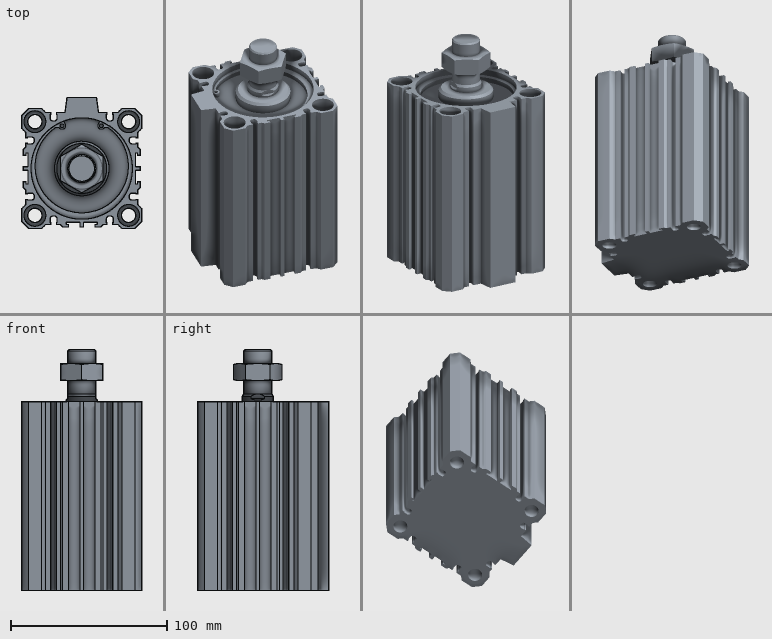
import cadquery as cq
import math


body_height = 121.0
half_width = 38.5
wall_face = 36.0
corner_chamfer = 4.5
pad_end = 25.75
port_block_face = 45.5
port_block_tip_half = 9.5
port_block_root_half = 10.8

mount_pitch = 60.0
mount_hole_dia = 9.0
mount_bore_dia = 14.0
mount_bore_depth = 10.5

slot_offset = 18.0
slot_mouth_width = 3.4
slot_width = 4.3
slot_lip_depth = 1.4
slot_depth = 5.5
slot_bottom_flat = 1.0

rail_face = 37.5
rail_half = 12.25
rail_root_half = 13.75
rail_mouth_half = 8.4
rail_undercut_half = 9.9
rail_floor = 34.5
rail_lip_underside = 35.7
rail_rib_half = 1.2

recess_dia = 65.0
recess_depth = 7.0
ring_thickness = 3.0
ring_inner_dia = 59.8
ring_center_y = 1.5
ring_end_y = 26.4
lug_x = 12.6
lug_y = 27.4
lug_radius = 2.25
lug_hole_dia = 2.5
boss_dia = 35.0
boss_chamfer = 1.5

rod_top = 154.5
rod_dia = 20.0
thread_dia = 18.0
thread_minor_dia = 16.38
shoulder_height = 5.0
shoulder_taper = 1.5
thread_chamfer = 1.0
rod_flat_width = 18.0
rod_flat_bottom = 2.0
flat_runout = 1.0

nut_across_flats = 27.0
nut_height = 11.0
nut_top = rod_top - 9.0
nut_face_dia = 26.4
nut_chamfer_angle = 15.0

recess_floor = body_height - recess_depth


def place_on_side(shape, side):
    """Turn a shape built on the -Y side by quarter turns about the axis."""
    return shape.rotate((0, 0, 0), (0, 0, 1), 90 * side)


def body_outline():
    """Square prism with chamfered corner pads and lower walls between them."""
    prism = (
        cq.Workplane("XY")
        .rect(2 * half_width, 2 * half_width)
        .extrude(body_height)
        .edges("|Z")
        .chamfer(corner_chamfer)
    )
    wall_half = pad_end - (half_width - wall_face)
    relief = (
        cq.Workplane("XY")
        .polyline([
            (-pad_end, -half_width),
            (-wall_half, -wall_face),
            (wall_half, -wall_face),
            (pad_end, -half_width),
        ])
        .close()
        .extrude(body_height)
    )
    for side in range(4):
        prism = prism.cut(place_on_side(relief, side))
    return prism


def port_block():
    return (
        cq.Workplane("XY")
        .polyline([
            (-port_block_root_half, wall_face),
            (-port_block_tip_half, port_block_face),
            (port_block_tip_half, port_block_face),
            (port_block_root_half, wall_face),
        ])
        .close()
        .extrude(body_height)
    )


def rail():
    """Raised strip that carries the switch grooves, on the -Y side."""
    return (
        cq.Workplane("XY")
        .polyline([
            (-rail_root_half, -wall_face),
            (-rail_half, -rail_face),
            (rail_half, -rail_face),
            (rail_root_half, -wall_face),
        ])
        .close()
        .extrude(body_height)
    )


def rail_grooves():
    """Two grooves beside the middle rib, each undercut below its outer lip."""
    groove = (
        cq.Workplane("XY")
        .polyline([
            (rail_rib_half, -rail_face),
            (rail_rib_half, -rail_floor),
            (rail_undercut_half, -rail_floor),
            (rail_undercut_half, -rail_lip_underside),
            (rail_mouth_half, -rail_lip_underside),
            (rail_mouth_half, -rail_face),
        ])
        .close()
        .extrude(body_height)
    )
    return groove.union(groove.mirror("YZ"))


def side_slots():
    """The two slots of the -Y side, narrowed at the mouth and rounded at the bottom."""
    corner_radius = (slot_width - slot_bottom_flat) / 2
    channel_length = slot_depth - slot_lip_depth
    channel = (
        cq.Workplane("XY")
        .center(slot_offset, -wall_face + slot_lip_depth)
        .rect(slot_width, channel_length, centered=(True, False))
        .extrude(body_height)
        .edges("|Z and >Y")
        .fillet(corner_radius)
    )
    mouth = (
        cq.Workplane("XY")
        .center(slot_offset, -wall_face)
        .rect(slot_mouth_width, slot_lip_depth, centered=(True, False))
        .extrude(body_height)
    )
    slot = channel.union(mouth)
    return slot.union(slot.mirror("YZ"))


def retaining_ring():
    """Open ring on the recess floor, ending in two drilled lugs."""
    def plate(sketch):
        return sketch.extrude(ring_thickness)

    base = cq.Workplane("XY").workplane(offset=recess_floor)
    recess_disc = plate(base.circle(recess_dia / 2))
    opening = plate(base.center(0, ring_center_y).circle(ring_inner_dia / 2))
    gap = plate(
        base.center(0, ring_end_y)
        .rect(2 * lug_x, recess_dia - 2 * ring_end_y, centered=(True, False))
    )
    ring = recess_disc.cut(opening).cut(gap)
    lug_distance = math.hypot(lug_x, lug_y)
    lug_angle = math.degrees(math.atan2(lug_x, lug_y))
    ring_end_x = math.sqrt((ring_inner_dia / 2) ** 2 - (ring_end_y - ring_center_y) ** 2)
    for sign in (-1, 1):
        lug = plate(base.center(sign * lug_x, lug_y).circle(lug_radius))
        stem = plate(
            base.center(0, lug_distance)
            .rect(2 * lug_radius, recess_dia / 2 - lug_distance, centered=(True, False))
        ).rotate((0, 0, 0), (0, 0, 1), -sign * lug_angle)
        web = plate(
            base.center(sign * (lug_x + ring_end_x) / 2, ring_end_y)
            .rect(ring_end_x - lug_x, recess_dia - 2 * ring_end_y, centered=(True, False))
        )
        hole = plate(base.center(sign * lug_x, lug_y).circle(lug_hole_dia / 2))
        ring = ring.union(lug).union(stem.union(web).intersect(recess_disc)).cut(hole)
    return ring


def rod_boss():
    return (
        cq.Workplane("XY")
        .workplane(offset=recess_floor)
        .circle(boss_dia / 2)
        .extrude(recess_depth)
        .faces(">Z")
        .chamfer(boss_chamfer)
    )


def make_housing():
    housing = body_outline().union(port_block())
    for side in (0, 1, 3):
        housing = housing.union(place_on_side(rail(), side))
        housing = housing.cut(place_on_side(rail_grooves(), side))
    for side in range(4):
        housing = housing.cut(place_on_side(side_slots(), side))
    housing = (
        housing.faces(">Z")
        .workplane(origin=(0, 0, body_height))
        .rect(mount_pitch, mount_pitch, forConstruction=True)
        .vertices()
        .cboreHole(mount_hole_dia, mount_bore_dia, mount_bore_depth)
    )
    recess = (
        cq.Workplane("XY").workplane(offset=recess_floor).circle(recess_dia / 2).extrude(recess_depth)
    )
    rod_hole = (
        cq.Workplane("XY").workplane(offset=recess_floor).circle(rod_dia / 2).extrude(recess_depth)
    )
    return housing.cut(recess).union(retaining_ring()).union(rod_boss()).cut(rod_hole)


def make_rod():
    """Rod seated in the boss, with a tapered shoulder, wrench flats and a chamfered thread end."""
    shoulder_z = body_height + shoulder_height
    rod = (
        cq.Workplane("XZ")
        .polyline([
            (0, recess_floor),
            (rod_dia / 2, recess_floor),
            (rod_dia / 2, shoulder_z - shoulder_taper),
            (thread_dia / 2, shoulder_z),
            (thread_dia / 2, rod_top - thread_chamfer),
            (thread_minor_dia / 2, rod_top),
            (0, rod_top),
        ])
        .close()
        .revolve(360, (0, 0, 0), (0, 1, 0))
    )
    flat_z = body_height + rod_flat_bottom
    flat_cut = (
        cq.Workplane("XZ")
        .polyline([
            (rod_flat_width / 2, flat_z),
            (rod_dia / 2, flat_z - flat_runout),
            (rod_dia / 2, shoulder_z),
            (rod_flat_width / 2, shoulder_z),
        ])
        .close()
        .extrude(rod_dia / 2, both=True)
    )
    return rod.cut(flat_cut).cut(flat_cut.mirror("YZ"))


def make_nut():
    """Hexagon nut with two corners on the Y axis and both faces chamfered."""
    corner_radius = nut_across_flats / 2 / math.cos(math.radians(30))
    face_radius = nut_face_dia / 2
    chamfer_drop = (corner_radius - face_radius) * math.tan(math.radians(nut_chamfer_angle))
    nut_bottom = nut_top - nut_height
    hexagon = (
        cq.Workplane("XY")
        .workplane(offset=nut_bottom)
        .polygon(6, 2 * corner_radius)
        .extrude(nut_height)
        .rotate((0, 0, 0), (0, 0, 1), 90)
    )
    chamfer_envelope = (
        cq.Workplane("XZ")
        .polyline([
            (thread_dia / 2, nut_bottom),
            (face_radius, nut_bottom),
            (corner_radius, nut_bottom + chamfer_drop),
            (corner_radius, nut_top - chamfer_drop),
            (face_radius, nut_top),
            (thread_dia / 2, nut_top),
        ])
        .close()
        .revolve(360, (0, 0, 0), (0, 1, 0))
    )
    return hexagon.intersect(chamfer_envelope)


housing = make_housing()
rod = make_rod()
nut = make_nut()

result = cq.Compound.makeCompound([housing.val(), rod.val(), nut.val()])